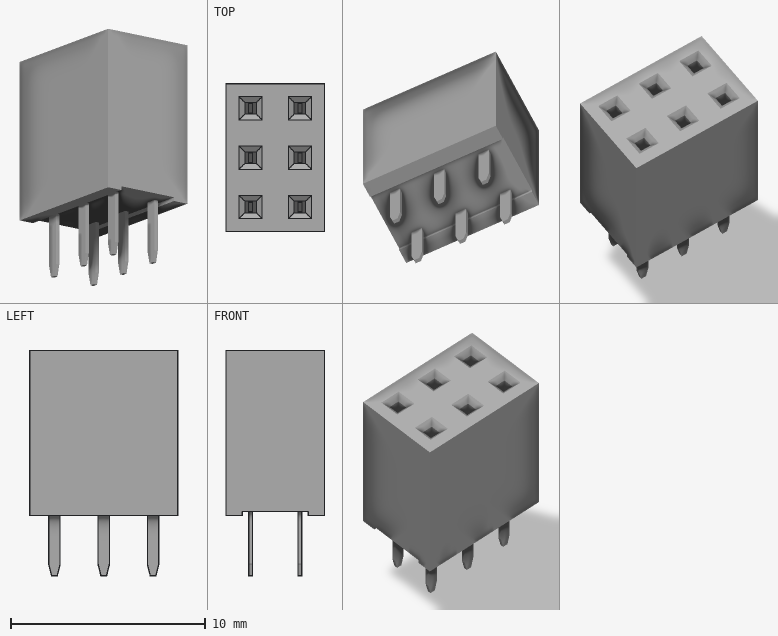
import cadquery as cq

PITCH = 2.54
COLUMNS = 2
ROWS = 3

HOUSING_LENGTH_X = COLUMNS * PITCH
HOUSING_LENGTH_Y = ROWS * PITCH
HOUSING_HEIGHT = 8.5
CHANNEL_WIDTH = HOUSING_LENGTH_X * 2 / 3
CHANNEL_DEPTH = 0.2

SOCKET_MOUTH = 1.2
SOCKET_WIDTH = 0.6
SOCKET_DEPTH = 6.0
LEAD_IN_DEPTH = (SOCKET_MOUTH - SOCKET_WIDTH) / 2

FLOOR_SLOT_DEPTH = 0.05
FLOOR_SLOT_LENGTH = 0.58
FLOOR_SLOT_BOTTOM_LENGTH = FLOOR_SLOT_LENGTH - 2 * FLOOR_SLOT_DEPTH

PIN_THICKNESS = 0.2
PIN_WIDTH = 0.6
PIN_TIP_WIDTH = 0.3
PIN_TAPER_LENGTH = 0.6
PIN_PROJECTION = 3.1

SOCKET_FLOOR_Z = HOUSING_HEIGHT - SOCKET_DEPTH
FLOOR_SLOT_BOTTOM_Z = SOCKET_FLOOR_Z - FLOOR_SLOT_DEPTH
PIN_TIP_Z = -PIN_PROJECTION
PIN_TAPER_Z = PIN_TIP_Z + PIN_TAPER_LENGTH


def contact_positions():
    """Centres of all contacts, on a grid centred on the origin."""
    return [
        ((column - (COLUMNS - 1) / 2) * PITCH, (row - (ROWS - 1) / 2) * PITCH)
        for column in range(COLUMNS)
        for row in range(ROWS)
    ]


def make_housing():
    """Rectangular block with a shallow channel along Y in its underside."""
    block = cq.Workplane("XY").box(
        HOUSING_LENGTH_X, HOUSING_LENGTH_Y, HOUSING_HEIGHT, centered=(True, True, False)
    )
    channel = cq.Workplane("XY").box(
        CHANNEL_WIDTH, HOUSING_LENGTH_Y, CHANNEL_DEPTH, centered=(True, True, False)
    )
    return block.cut(channel)


def make_socket(x, y):
    """Volume of one square socket with its flared mouth."""
    bore = (
        cq.Workplane("XY")
        .box(SOCKET_WIDTH, SOCKET_WIDTH, SOCKET_DEPTH, centered=(True, True, False))
        .translate((x, y, SOCKET_FLOOR_Z))
    )
    lead_in = (
        cq.Workplane("XY", origin=(x, y, HOUSING_HEIGHT))
        .rect(SOCKET_MOUTH, SOCKET_MOUTH)
        .workplane(offset=-LEAD_IN_DEPTH)
        .rect(SOCKET_WIDTH, SOCKET_WIDTH)
        .loft()
    )
    return bore.union(lead_in)


def make_strip(outline, x, y):
    """Flat strip as thick as a pin, with a (Y, Z) outline, centred on (x, y)."""
    return (
        cq.Workplane("YZ")
        .polyline(outline)
        .close()
        .extrude(PIN_THICKNESS / 2, both=True)
        .translate((x, y, 0))
    )


def make_floor_slot(x, y):
    """Volume of the shallow slot in a socket floor, directly above the pin."""
    half_top = FLOOR_SLOT_LENGTH / 2
    half_bottom = FLOOR_SLOT_BOTTOM_LENGTH / 2
    outline = [
        (-half_top, SOCKET_FLOOR_Z),
        (-half_bottom, FLOOR_SLOT_BOTTOM_Z),
        (half_bottom, FLOOR_SLOT_BOTTOM_Z),
        (half_top, SOCKET_FLOOR_Z),
    ]
    return make_strip(outline, x, y)


def make_pin(x, y):
    """One flat pin, from the bottom of its floor slot down to its tapered tip."""
    half_width = PIN_WIDTH / 2
    half_tip = PIN_TIP_WIDTH / 2
    outline = [
        (-half_width, FLOOR_SLOT_BOTTOM_Z),
        (-half_width, PIN_TAPER_Z),
        (-half_tip, PIN_TIP_Z),
        (half_tip, PIN_TIP_Z),
        (half_width, PIN_TAPER_Z),
        (half_width, FLOOR_SLOT_BOTTOM_Z),
    ]
    return make_strip(outline, x, y)


result = make_housing()
for position in contact_positions():
    result = result.cut(make_socket(*position))
    result = result.cut(make_floor_slot(*position))
    result = result.union(make_pin(*position))